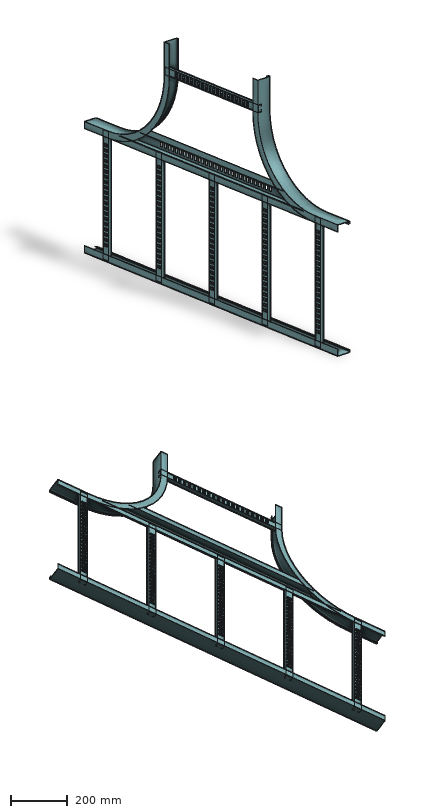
import cadquery as cq
import math

length = 1350.0
height = 925.0
depth = 60.0
sheet = 1.2
tray_width = 500.0
bend_radius = 300.0
straight = (length - tray_width) / 2 - bend_radius
front = -depth / 2
back = depth / 2
bottom = -height / 2
run_top = bottom + tray_width
branch_side = tray_width / 2
bend_center_x = branch_side + bend_radius
bend_center_z = run_top + bend_radius

flange_height = 27.0
lip_width = 8.0
lip_height = 11.5
lip_slope = 2.2

rung_width = 30.0
rung_depth = 16.0
rung_lip = 8.0
rung_sheet = 2.0
rung_count = 5
rung_end_margin = 110.0
rung_pitch = (length - 2 * rung_end_margin) / (rung_count - 1)
rung_gap = 2.0
rung_end_gap = 3.0
rung_front = front + sheet + rung_gap
branch_rung_z = 352.0
slot_width = 10.0
slot_height = 18.0
slot_pitch = 2 * slot_width
rung_slot_count = 20

filler_length = 1053.0
filler_depth = 23.0
filler_end_gap = 8.0
filler_bend = 2.0
filler_step_z = 80.0
filler_top = 104.0
filler_slot_z = 55.0
filler_slot_count = 30


def sheet_outline(path, thickness):
    """Closed outline of a bent sheet: the path, and the path moved one thickness to its left."""
    normals = []
    for (x0, y0), (x1, y1) in zip(path, path[1:]):
        run = math.hypot(x1 - x0, y1 - y0)
        normals.append((-(y1 - y0) / run, (x1 - x0) / run))
    inner = []
    for i, (x, y) in enumerate(path):
        ax, ay = normals[max(i - 1, 0)]
        bx, by = normals[min(i, len(normals) - 1)]
        reach = thickness / (1 + ax * bx + ay * by)
        inner.append((x + reach * (ax + bx), y + reach * (ay + by)))
    return path + inner[::-1]


rail_section = sheet_outline([
    (front, flange_height),
    (front, 0),
    (back - lip_width, 0),
    (back, lip_slope),
    (back, lip_height - lip_slope),
    (back - lip_width, lip_height),
], sheet)


def make_bottom_rail():
    points = [(y, bottom + inward) for y, inward in rail_section]
    return cq.Workplane("YZ", origin=(-length / 2, 0, 0)).polyline(points).close().extrude(length)


def make_left_bend():
    """Rail that runs along the top of the run, turns through a quarter circle and climbs the branch."""
    run_points = [(y, run_top - inward) for y, inward in rail_section]
    run_leg = cq.Workplane("YZ", origin=(-length / 2, 0, 0)).polyline(run_points).close().extrude(straight)

    branch_points = [(-branch_side + inward, y) for y, inward in rail_section]
    branch_leg = (
        cq.Workplane("XY", origin=(0, 0, bend_center_z)).polyline(branch_points).close().extrude(straight)
    )

    arc_points = [(bend_radius + inward, y) for y, inward in rail_section]
    arc = (
        cq.Workplane("XY", origin=(-bend_center_x, 0, bend_center_z))
        .polyline(arc_points).close()
        .revolve(90, (0, 0, 0), (0, 1, 0))
    )
    return run_leg.union(arc).union(branch_leg)


def slot_row(count, z):
    """Cutters for a row of upright slots along X, centred on X = 0."""
    return (
        cq.Workplane("XZ", origin=(0, 0, z))
        .rarray(slot_pitch, 14, count, 1)
        .rect(slot_width, slot_height)
        .extrude(depth, both=True)
    )


def make_rung(rung_length):
    """Slotted lipped channel along X, centred on X = 0 and Z = 0, slots in its front face."""
    half = rung_width / 2
    rung_back = rung_front + rung_depth
    section = sheet_outline([
        (rung_back, half - rung_lip),
        (rung_back, half),
        (rung_front, half),
        (rung_front, -half),
        (rung_back, -half),
        (rung_back, -half + rung_lip),
    ], rung_sheet)
    channel = (
        cq.Workplane("YZ", origin=(-rung_length / 2, 0, 0)).polyline(section).close().extrude(rung_length)
    )
    return channel.cut(slot_row(rung_slot_count, 0))


def bend_cylinders(radius):
    """Cylinders about both bend centres, reaching well past the front and back of the rails."""
    return (
        cq.Workplane("XZ", origin=(0, 0, bend_center_z))
        .pushPoints([(-bend_center_x, 0), (bend_center_x, 0)])
        .circle(radius)
        .extrude(depth, both=True)
    )


def make_filler_rail():
    """Slotted hat section: its front sheet ends at the bend flanges, the rest runs on behind them."""
    filler_back = front + filler_depth
    section = sheet_outline([
        (front, filler_top),
        (front, filler_step_z),
        (filler_back, filler_step_z),
        (filler_back, run_top),
        (front + filler_bend, run_top),
        (front, run_top - filler_bend),
        (front, run_top - flange_height),
    ], sheet)
    hat = (
        cq.Workplane("YZ", origin=(-filler_length / 2, 0, 0)).polyline(section).close().extrude(filler_length)
    )
    front_layer = cq.Workplane("XY").box(length, 2 * sheet, height).translate((0, front, 0))
    flange_clearance = bend_cylinders(bend_radius + flange_height).intersect(front_layer)
    back_clearance = bend_cylinders(bend_radius + filler_end_gap)
    return hat.cut(flange_clearance).cut(back_clearance).cut(slot_row(filler_slot_count, filler_slot_z))


bottom_rail = make_bottom_rail()
left_bend = make_left_bend()
right_bend = left_bend.mirror("YZ")
filler_rail = make_filler_rail()

clear_width = tray_width - 2 * sheet
branch_rung = make_rung(clear_width).translate((0, 0, branch_rung_z))

upright_rung = make_rung(clear_width - 2 * rung_end_gap).rotate((0, 0, 0), (0, 1, 0), 90)
run_center_z = bottom + tray_width / 2
run_rungs = []
for i in range(rung_count):
    rung_x = (i - (rung_count - 1) / 2) * rung_pitch
    run_rungs.append(upright_rung.translate((rung_x, 0, run_center_z)).val())

result = cq.Compound.makeCompound([
    bottom_rail.val(),
    left_bend.val(),
    right_bend.val(),
    filler_rail.val(),
    branch_rung.val(),
    *run_rungs,
])